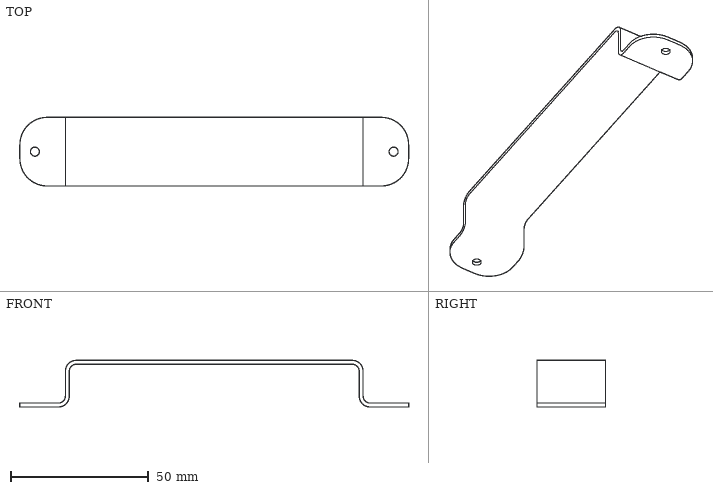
import cadquery as cq

length = 141.0
width = 25.0
height = 17.0

thickness = 1.5
inner_bend_radius = 2.5
outer_bend_radius = inner_bend_radius + thickness
bridge_length = 108.0

foot_corner_radius = 10.0
hole_diameter = 3.2
hole_spacing = 130.0


def hat_profile():
    """Cross-section of the bent strip in the XZ plane, with sharp bends."""
    half_length = length / 2
    outer_wall = bridge_length / 2
    inner_wall = outer_wall - thickness
    right_side = [
        (inner_wall, height - thickness),
        (inner_wall, 0),
        (half_length, 0),
        (half_length, thickness),
        (outer_wall, thickness),
        (outer_wall, height),
    ]
    left_side = [(-x, z) for x, z in reversed(right_side)]
    return cq.Workplane("XZ").polyline(right_side + left_side).close()


def bend_edges(body, x, z):
    """Select the left and right bend edges that run along Y at (+-x, z)."""
    tolerance = 0.01
    return body.edges("|Y").filter(
        lambda edge: abs(abs(edge.Center().x) - x) < tolerance
        and abs(edge.Center().z - z) < tolerance
    )


def bent_strip():
    """Strip of constant thickness with concentric rounded bends."""
    outer_wall = bridge_length / 2
    inner_wall = outer_wall - thickness
    body = hat_profile().extrude(width / 2, both=True)
    bends = [
        (outer_wall, height, outer_bend_radius),
        (inner_wall, height - thickness, inner_bend_radius),
        (outer_wall, thickness, inner_bend_radius),
        (inner_wall, 0, outer_bend_radius),
    ]
    for x, z, radius in bends:
        body = bend_edges(body, x, z).fillet(radius)
    return body


def round_foot_corners(body):
    """Round the four outer corners of the feet."""
    return body.edges("|Z and (<X or >X)").fillet(foot_corner_radius)


def drill_feet(body):
    """Drill one mounting hole through each foot."""
    holes = (
        cq.Workplane("XY")
        .pushPoints([(-hole_spacing / 2, 0), (hole_spacing / 2, 0)])
        .circle(hole_diameter / 2)
        .extrude(thickness)
    )
    return body.cut(holes)


result = drill_feet(round_foot_corners(bent_strip()))